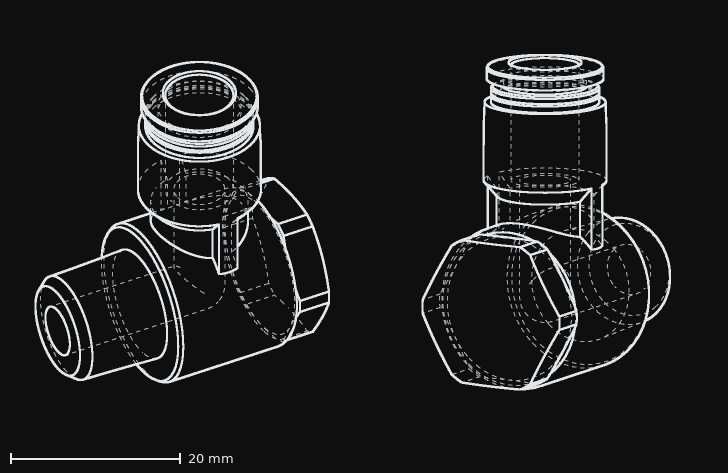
import cadquery as cq


tip_y = -19.0
hex_back_y = 12.5
body_radius = 19.6 / 2
top_z = 38.0 - body_radius

body_front_y = -7.98
body_back_y = 8.1
front_chamfer_length = 0.5
front_chamfer_depth = 0.35
back_round_length = 1.0
back_round_depth = 0.65
back_round_mid_length = 0.5
back_round_mid_depth = 0.2

hex_flats = 17.15
hex_turn = 30.0
hex_corner_radius = 9.45
hex_bevel_length = 0.247
hex_face_radius = hex_flats / 2

thread_root_radius = 6.73
thread_end_radius = 12.8 / 2
thread_tip_radius = 5.5
thread_tip_length = 1.18

neck_radius = 5.75
neck_top_z = 12.27
sleeve_radius = 14.5 / 2
sleeve_bottom_z = 14.02
sleeve_taper_z = 20.5
sleeve_top_z = 23.45
sleeve_top_radius = 7.15

ring_radius = 12.8 / 2
ring_top_z = 25.35
ring_bevel = 0.23
groove_bottom_z = 24.2
groove_floor_z = 24.45
groove_top_z = 24.5
groove_depth = 0.2

stem_radius = 9.8 / 2
collar_radius = 13.8 / 2
collar_bottom_z = 26.25
collar_side_top_z = 27.5
collar_rim_z = 27.75
collar_rim_inset = 0.15

rib_width = 2.5

passage_radius = 6.0 / 2
tube_bore_radius = 8.0 / 2
tube_bore_chamfer = 0.3
tube_bore_floor_z = sleeve_bottom_z


def turned_about_y(points):
    """Solid of revolution about Y from (radius, y) points."""
    return cq.Workplane("XY").polyline(points).close().revolve(360, (0, 0, 0), (0, 1, 0))


def turned_about_z(points):
    """Solid of revolution about Z from (radius, z) points."""
    return cq.Workplane("XZ").polyline(points).close().revolve(360, (0, 0, 0), (0, 1, 0))


def make_body():
    return (
        cq.Workplane("XY")
        .moveTo(0, body_front_y)
        .lineTo(body_radius - front_chamfer_depth, body_front_y)
        .lineTo(body_radius, body_front_y + front_chamfer_length)
        .lineTo(body_radius, body_back_y - back_round_length)
        .threePointArc(
            (body_radius - back_round_mid_depth, body_back_y - back_round_mid_length),
            (body_radius - back_round_depth, body_back_y),
        )
        .lineTo(0, body_back_y)
        .close()
        .revolve(360, (0, 0, 0), (0, 1, 0))
    )


def make_thread_stub():
    return turned_about_y([
        (0, tip_y),
        (thread_tip_radius, tip_y),
        (thread_end_radius, tip_y + thread_tip_length),
        (thread_root_radius, body_front_y),
        (0, body_front_y),
    ])


def make_hex_head():
    length = hex_back_y - body_back_y
    prism = (
        cq.Workplane("XZ", origin=(0, hex_back_y, 0))
        .transformed(rotate=(0, 0, hex_turn))
        .polygon(6, hex_flats, circumscribed=True)
        .extrude(length)
    )
    envelope = turned_about_y([
        (0, body_back_y),
        (hex_face_radius, body_back_y),
        (hex_corner_radius, body_back_y + hex_bevel_length),
        (hex_corner_radius, hex_back_y - hex_bevel_length),
        (hex_face_radius, hex_back_y),
        (0, hex_back_y),
    ])
    return prism.intersect(envelope)


def make_socket():
    mouth_radius = tube_bore_radius + tube_bore_chamfer
    return turned_about_z([
        (0, 0),
        (neck_radius, 0),
        (neck_radius, neck_top_z),
        (sleeve_radius, sleeve_bottom_z),
        (sleeve_radius, sleeve_taper_z),
        (sleeve_top_radius, sleeve_top_z),
        (ring_radius, sleeve_top_z),
        (ring_radius, groove_bottom_z),
        (ring_radius - groove_depth, groove_floor_z),
        (ring_radius, groove_top_z),
        (ring_radius, ring_top_z - ring_bevel),
        (ring_radius - ring_bevel, ring_top_z),
        (stem_radius, ring_top_z),
        (stem_radius, collar_bottom_z),
        (collar_radius, collar_bottom_z),
        (collar_radius, collar_side_top_z),
        (collar_radius - collar_rim_inset, collar_rim_z),
        (mouth_radius, top_z),
        (0, top_z),
    ])


def make_ribs():
    """Web on both sides, its outer faces flush with the sleeve."""
    web = cq.Workplane("XY").rect(2 * body_radius, rib_width).extrude(sleeve_bottom_z)
    return web.intersect(cq.Workplane("XY").circle(sleeve_radius).extrude(sleeve_bottom_z))


def make_passages():
    thread_passage = cq.Workplane("XZ").circle(passage_radius).extrude(-tip_y)
    socket_passage = cq.Workplane("XY").circle(passage_radius).extrude(top_z)
    elbow = cq.Workplane("XY").sphere(passage_radius)
    tube_bore = turned_about_z([
        (0, tube_bore_floor_z),
        (tube_bore_radius, tube_bore_floor_z),
        (tube_bore_radius, top_z - tube_bore_chamfer),
        (tube_bore_radius + tube_bore_chamfer, top_z),
        (0, top_z),
    ])
    return thread_passage.union(elbow).union(socket_passage).union(tube_bore)


result = (
    make_body()
    .union(make_thread_stub())
    .union(make_hex_head())
    .union(make_socket())
    .union(make_ribs())
    .cut(make_passages())
)